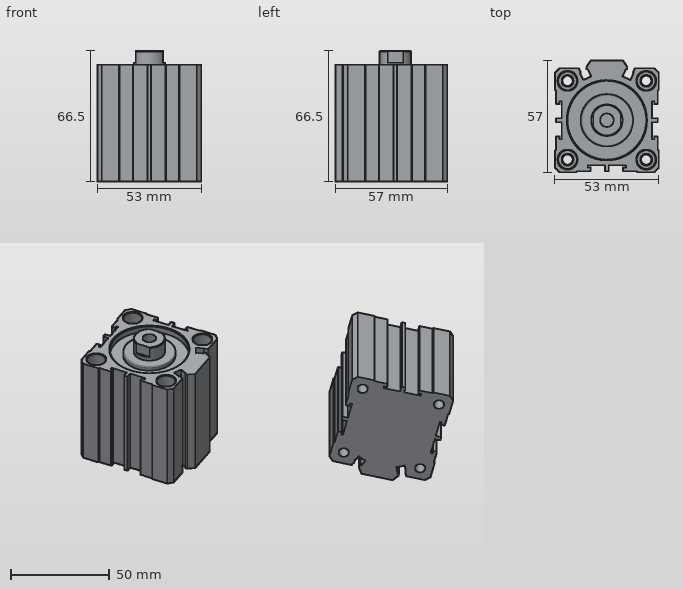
import cadquery as cq
import math

BODY_WIDTH = 53.0
BODY_HEIGHT = 59.5
TOTAL_DEPTH = 57.0
TOTAL_HEIGHT = 66.5
HALF_WIDTH = BODY_WIDTH / 2
CORNER_CHAMFER = 2.4

SIDE_COUNT = 3
RELIEF_DEPTH = 0.5
RELIEF_HALF_WIDTH = 15.55
LAND = HALF_WIDTH - RELIEF_DEPTH
SLOT_FLOOR = 23.0
LIP_INNER = 24.0
SLOT_OPENING = 8.2
SLOT_UNDERCUT = 9.65
RIB_HALF_WIDTH = 1.05
EDGE_BREAK = 0.3

RAIL_TOP = TOTAL_DEPTH - HALF_WIDTH
RAIL_TOP_HALF_WIDTH = 8.2
RAIL_HALF_WIDTH = 10.45
RAIL_SHOULDER = 27.05
HOOK_BOTTOM = 25.95
GROOVE_TILT = 25.0
GROOVE_CORNER = (8.05, 22.35)
GROOVE_WIDTH = 4.3
GROOVE_DEPTH = 3.85
GROOVE_LIP = 0.45

RECESS_RADIUS = 20.0
RECESS_DEPTH = 3.7
RECESS_CHAMFER = 0.45
BOSS_RADIUS = 13.35
BOSS_SINK = 1.3
BOSS_FILLET = 0.45
RECESS_FLOOR = BODY_HEIGHT - RECESS_DEPTH
BOSS_HEIGHT = RECESS_DEPTH - BOSS_SINK

HOLE_PITCH = 40.0
COUNTERBORE_RADIUS = 4.7
COUNTERBORE_DEPTH = 7.0
COUNTERBORE_CHAMFER = 0.4
HOLE_RADIUS = 2.6
HOLE_CHAMFER = 0.45

ROD_RADIUS = 8.05
ROD_CHAMFER = 0.3
FLAT_SPACING = 14.0
FLAT_LENGTH = 6.0
ROD_BORE_RADIUS = 3.45
ROD_BORE_DEPTH = 8.0


def cylinder(radius, bottom, height):
    """Cylinder about the Z axis, standing on the given level."""
    return cq.Workplane("XY").workplane(offset=bottom).circle(radius).extrude(height)


def prism(points):
    """Outline extruded over the full height of the body."""
    return cq.Workplane("XY").polyline(points).close().extrude(BODY_HEIGHT)


def side_cutter():
    """Relief and both T-slots of the -Y side, leaving a rib between the slots."""
    half_outline = [
        (RELIEF_HALF_WIDTH, -HALF_WIDTH),
        (RELIEF_HALF_WIDTH - RELIEF_DEPTH, -LAND),
        (SLOT_OPENING + EDGE_BREAK, -LAND),
        (SLOT_OPENING, -LAND + EDGE_BREAK),
        (SLOT_OPENING, -LIP_INNER),
        (SLOT_UNDERCUT, -LIP_INNER),
        (SLOT_UNDERCUT, -SLOT_FLOOR),
        (RIB_HALF_WIDTH, -SLOT_FLOOR),
        (RIB_HALF_WIDTH, -LAND + EDGE_BREAK),
        (RIB_HALF_WIDTH - EDGE_BREAK, -LAND),
    ]
    mirrored = [(-x, y) for x, y in reversed(half_outline)]
    return prism(half_outline + mirrored)


def sensor_rail():
    """Tapered rail standing on the +Y face."""
    half_outline = [
        (RAIL_HALF_WIDTH, HALF_WIDTH),
        (RAIL_HALF_WIDTH, RAIL_SHOULDER),
        (RAIL_TOP_HALF_WIDTH, RAIL_TOP),
    ]
    mirrored = [(-x, y) for x, y in reversed(half_outline)]
    return prism(half_outline + mirrored)


def groove_cutter():
    """Tilted groove on the +X flank of the rail, undercut on both walls."""
    tilt = math.radians(GROOVE_TILT)

    def groove_point(across, up):
        x = GROOVE_CORNER[0] + across * math.cos(tilt) + up * math.sin(tilt)
        y = GROOVE_CORNER[1] - across * math.sin(tilt) + up * math.cos(tilt)
        return (x, y)

    lip_edge = groove_point(GROOVE_WIDTH - GROOVE_LIP, GROOVE_DEPTH)
    mouth_x = lip_edge[0] + (HALF_WIDTH - lip_edge[1]) * math.tan(tilt)
    return prism([
        GROOVE_CORNER,
        groove_point(GROOVE_WIDTH, 0),
        groove_point(GROOVE_WIDTH, GROOVE_DEPTH),
        lip_edge,
        (mouth_x, HALF_WIDTH),
        (RAIL_HALF_WIDTH, HALF_WIDTH),
        (RAIL_HALF_WIDTH, HOOK_BOTTOM),
        groove_point(0, GROOVE_DEPTH),
    ])


def cover_recess():
    """Round recess in the top face with a chamfered rim and a raised, rounded boss around the rod."""
    recess = cq.Workplane("XZ").polyline([
        (0, RECESS_FLOOR),
        (RECESS_RADIUS, RECESS_FLOOR),
        (RECESS_RADIUS, BODY_HEIGHT - RECESS_CHAMFER),
        (RECESS_RADIUS + RECESS_CHAMFER, BODY_HEIGHT),
        (0, BODY_HEIGHT),
    ]).close().revolve(360, (0, 0), (0, 1))
    boss = cylinder(BOSS_RADIUS, RECESS_FLOOR, BOSS_HEIGHT).faces(">Z").edges().fillet(BOSS_FILLET)
    return recess.cut(boss)


def mounting_hole_cutter():
    """Stepped through hole about the Z axis, with both upper edges chamfered."""
    seat = BODY_HEIGHT - COUNTERBORE_DEPTH
    return cq.Workplane("XZ").polyline([
        (0, 0),
        (HOLE_RADIUS, 0),
        (HOLE_RADIUS, seat - HOLE_CHAMFER),
        (HOLE_RADIUS + HOLE_CHAMFER, seat),
        (COUNTERBORE_RADIUS, seat),
        (COUNTERBORE_RADIUS, BODY_HEIGHT - COUNTERBORE_CHAMFER),
        (COUNTERBORE_RADIUS + COUNTERBORE_CHAMFER, BODY_HEIGHT),
        (0, BODY_HEIGHT),
    ]).close().revolve(360, (0, 0), (0, 1))


def make_housing():
    body = cq.Workplane("XY").rect(BODY_WIDTH, BODY_WIDTH).extrude(BODY_HEIGHT)
    body = body.edges("|Z").chamfer(CORNER_CHAMFER)

    for index in range(SIDE_COUNT):
        body = body.cut(side_cutter().rotate((0, 0, 0), (0, 0, 1), 90 * (index - 1)))

    body = body.union(sensor_rail())
    groove = groove_cutter()
    body = body.cut(groove).cut(groove.mirror("YZ"))

    body = body.cut(cover_recess())
    body = body.cut(cylinder(ROD_RADIUS, RECESS_FLOOR, BOSS_HEIGHT))

    hole = mounting_hole_cutter()
    for x in (-HOLE_PITCH / 2, HOLE_PITCH / 2):
        for y in (-HOLE_PITCH / 2, HOLE_PITCH / 2):
            body = body.cut(hole.translate((x, y, 0)))
    return body


def make_rod():
    """Rod seated through the boss, with two wrench flats and a blind end bore."""
    rod = cylinder(ROD_RADIUS, RECESS_FLOOR, TOTAL_HEIGHT - RECESS_FLOOR)
    rod = rod.faces(">Z").edges().chamfer(ROD_CHAMFER)

    flat_bottom = TOTAL_HEIGHT - FLAT_LENGTH
    outside_flats = cylinder(2 * ROD_RADIUS, flat_bottom, FLAT_LENGTH).cut(
        cq.Workplane("XY").workplane(offset=flat_bottom)
        .rect(FLAT_SPACING, 4 * ROD_RADIUS).extrude(FLAT_LENGTH)
    )
    rod = rod.cut(outside_flats)
    return rod.cut(cylinder(ROD_BORE_RADIUS, TOTAL_HEIGHT - ROD_BORE_DEPTH, ROD_BORE_DEPTH))


housing = make_housing()
rod = make_rod()

result = cq.Compound.makeCompound([housing.val(), rod.val()])